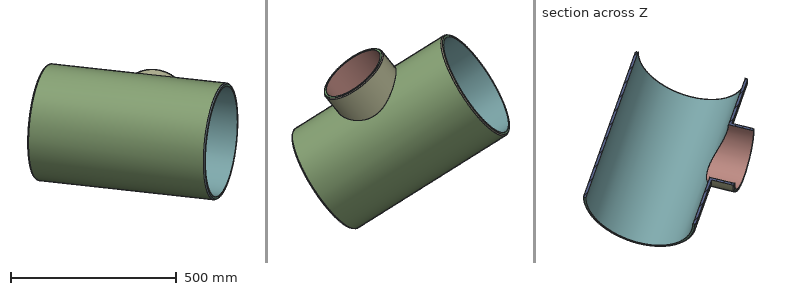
import cadquery as cq
import math

run_diameter = 355.6
run_length = 558.8
branch_diameter = 219.1
branch_reach = 247.65
wall = 9.525

bevel_angle = 37.5
run_bevel_depth = 3.175
branch_bevel_depth = 2.7

run_radius = run_diameter / 2
run_bore_radius = run_radius - wall
branch_radius = branch_diameter / 2
branch_bore_radius = branch_radius - wall


def bevel_length(depth):
    """Axial length of a weld bevel with the given radial depth."""
    return depth / math.tan(math.radians(bevel_angle))


def make_run():
    """Solid run cylinder centred on the origin, bevelled at both ends."""
    half_length = run_length / 2
    land_radius = run_radius - run_bevel_depth
    shoulder = half_length - bevel_length(run_bevel_depth)
    profile = [
        (-half_length, 0),
        (-half_length, land_radius),
        (-shoulder, run_radius),
        (shoulder, run_radius),
        (half_length, land_radius),
        (half_length, 0),
    ]
    return cq.Workplane("XY").polyline(profile).close().revolve(360, (0, 0), (1, 0))


def make_branch():
    """Solid branch cylinder from the run axis, bevelled at its free end."""
    land_radius = branch_radius - branch_bevel_depth
    shoulder = branch_reach - bevel_length(branch_bevel_depth)
    profile = [
        (0, 0),
        (branch_radius, 0),
        (branch_radius, shoulder),
        (land_radius, branch_reach),
        (0, branch_reach),
    ]
    return cq.Workplane("XY").polyline(profile).close().revolve(360, (0, 0), (0, 1))


def make_bores():
    """Through bore of the run joined with the branch bore."""
    run_bore = cq.Workplane("YZ").circle(run_bore_radius).extrude(run_length / 2, both=True)
    branch_bore = cq.Workplane("XZ").circle(branch_bore_radius).extrude(-branch_reach)
    return run_bore.union(branch_bore)


result = make_run().union(make_branch()).cut(make_bores())